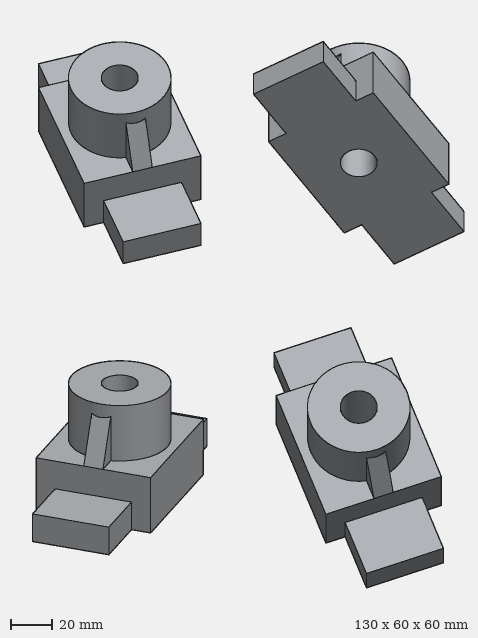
import cadquery as cq

overall_length = 130.0
block_length = 70.0
block_width = 60.0
block_height = 30.0
tab_width = 40.0
tab_height = block_height / 2

total_height = 2 * block_height
boss_diameter = 50.0
bore_diameter = 18.0

rib_thickness = 10.0
rib_rise = 22.8


def base_box(length, width, height):
    """Box centred on the Z axis and standing on the XY plane."""
    return cq.Workplane("XY").box(length, width, height, centered=(True, True, False))


def rib_pair():
    """Both sloping ribs as one trapezoidal plate running through the boss."""
    foot = block_length / 2
    shoulder = boss_diameter / 2
    slope = rib_rise / (foot - shoulder)
    inner = (shoulder**2 - (rib_thickness / 2) ** 2) ** 0.5
    crest = block_height + slope * (foot - inner)
    return (
        cq.Workplane("XZ")
        .polyline([(-foot, block_height), (foot, block_height), (inner, crest), (-inner, crest)])
        .close()
        .extrude(rib_thickness / 2, both=True)
    )


block = base_box(block_length, block_width, block_height)
tabs = base_box(overall_length, tab_width, tab_height)
boss = cq.Workplane("XY").circle(boss_diameter / 2).extrude(total_height)
bore = cq.Workplane("XY").circle(bore_diameter / 2).extrude(total_height)

result = block.union(tabs).union(boss).union(rib_pair()).cut(bore)